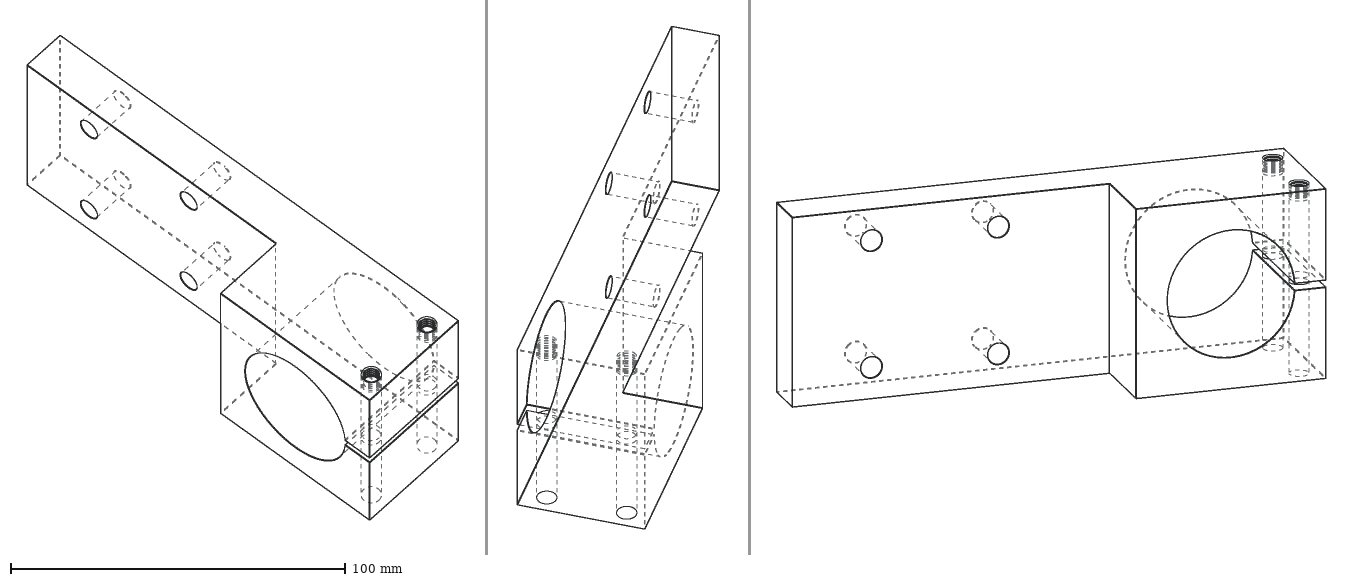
import cadquery as cq

LENGTH = 160.0
HEIGHT = 60.0
PLATE_THICKNESS = 15.0
BLOCK_LENGTH = HEIGHT
BLOCK_DEPTH = 40.0
EDGE_BREAK = 0.2

BORE_DIAMETER = 40.0
SLIT_WIDTH = 2.0

MOUNT_HOLE_DIAMETER = 6.5
MOUNT_HOLE_SPACING = 40.0

SCREW_DIAMETER = 6.0
SCREW_TIP_DIAMETER = 4.6
SCREW_EDGE_DISTANCE = 6.0
SCREW_SPACING = 25.0

THREAD_MINOR_DIAMETER = 5.0
THREAD_PITCH = 1.0
THREAD_TURNS = 4

PLATE_LENGTH = LENGTH - BLOCK_LENGTH
BORE_X = LENGTH - BLOCK_LENGTH / 2
BOTTOM_Z = -HEIGHT / 2

MOUNT_END_DISTANCE = PLATE_LENGTH / 4
MOUNT_XS = [MOUNT_END_DISTANCE, MOUNT_END_DISTANCE + MOUNT_HOLE_SPACING]
MOUNT_ZS = [-MOUNT_HOLE_SPACING / 2, MOUNT_HOLE_SPACING / 2]

SCREW_X = LENGTH - SCREW_EDGE_DISTANCE
SCREW_YS = [(-BLOCK_DEPTH - SCREW_SPACING) / 2, (-BLOCK_DEPTH + SCREW_SPACING) / 2]
SCREW_LENGTH = HEIGHT - THREAD_TURNS * THREAD_PITCH
SCREW_TIP_CHAMFER = (SCREW_DIAMETER - SCREW_TIP_DIAMETER) / 2

THREAD_CREST = THREAD_PITCH / 4
THREAD_ROOT = THREAD_PITCH / 8
THREAD_FLANK = (THREAD_PITCH - THREAD_CREST - THREAD_ROOT) / 2


def make_plate_and_block():
    """L-shaped outline in XY, extruded over the height."""
    outline = [
        (0, 0),
        (LENGTH, 0),
        (LENGTH, -BLOCK_DEPTH),
        (PLATE_LENGTH, -BLOCK_DEPTH),
        (PLATE_LENGTH, -PLATE_THICKNESS),
        (0, -PLATE_THICKNESS),
    ]
    return cq.Workplane("XY", origin=(0, 0, BOTTOM_Z)).polyline(outline).close().extrude(HEIGHT)


def make_cross_hole(diameter, depth, x, z):
    """Cutter for a hole along Y, from the back face to the given depth."""
    return cq.Workplane("XZ", origin=(x, 0, z)).circle(diameter / 2).extrude(depth)


def make_slit():
    """Cutter from the bore axis out through the +X side."""
    slit = cq.Workplane("XY").box(LENGTH - BORE_X, BLOCK_DEPTH, SLIT_WIDTH, centered=(False, False, True))
    return slit.translate((BORE_X, -BLOCK_DEPTH, 0))


def make_screw_hole(y):
    """Cutter that fits the screw, with the open thread between its tip and the top face."""
    major_radius = SCREW_DIAMETER / 2
    minor_radius = THREAD_MINOR_DIAMETER / 2
    profile = [(0, HEIGHT)]
    for turn in range(THREAD_TURNS):
        turn_top = HEIGHT - turn * THREAD_PITCH
        crest_top = turn_top - THREAD_FLANK
        crest_bottom = crest_top - THREAD_CREST
        profile += [
            (major_radius, turn_top),
            (minor_radius, crest_top),
            (minor_radius, crest_bottom),
            (major_radius, crest_bottom - THREAD_FLANK),
        ]
    profile += [(major_radius, 0), (0, 0)]
    hole = cq.Workplane("XZ").polyline(profile).close().revolve(360, (0, 0, 0), (0, 1, 0))
    return hole.translate((SCREW_X, y, BOTTOM_Z))


def make_bracket():
    """Plate and clamp block with every edge broken, then drilled for the screws."""
    bracket = make_plate_and_block()
    bracket = bracket.cut(make_cross_hole(BORE_DIAMETER, BLOCK_DEPTH, BORE_X, 0))
    bracket = bracket.cut(make_slit())
    for x in MOUNT_XS:
        for z in MOUNT_ZS:
            bracket = bracket.cut(make_cross_hole(MOUNT_HOLE_DIAMETER, PLATE_THICKNESS, x, z))
    bracket = bracket.edges().chamfer(EDGE_BREAK)
    for y in SCREW_YS:
        bracket = bracket.cut(make_screw_hole(y))
    return bracket


def make_screw(y):
    """Plain shank from the underside up to a chamfered tip below the open thread."""
    shank = cq.Workplane("XY", origin=(SCREW_X, y, BOTTOM_Z)).circle(SCREW_DIAMETER / 2)
    return shank.extrude(SCREW_LENGTH).faces(">Z").chamfer(SCREW_TIP_CHAMFER)


bracket = make_bracket().solids()
screws = [make_screw(y).solids().val() for y in SCREW_YS]

result = cq.Compound.makeCompound([bracket.val(), *screws])